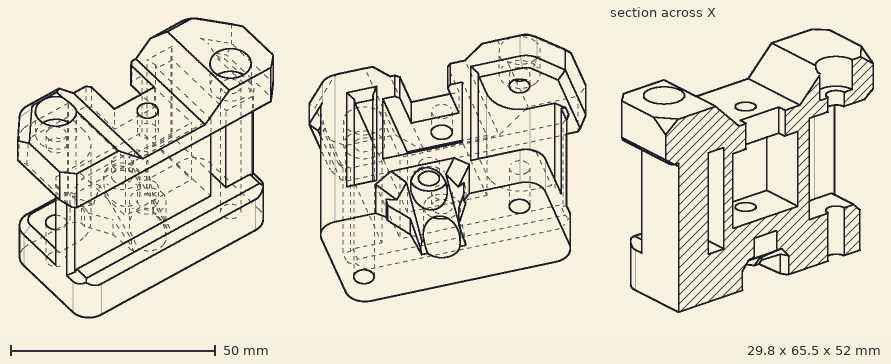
import cadquery as cq
import math

height = 52.0
base_depth = 29.75
base_half_width = 28.6
column_depth = 23.8
flange_depth = 28.0
flange_half_width = 32.75
corner_radius = 5.0

bay_floor = 13.0
bay_ceiling = 40.1
bay_chamfer = 2.1
side_chamfer = 1.45
end_chamfer_depth = 1.2

column_top = bay_ceiling + bay_chamfer

flange_flat_x = 8.05
corner_to_end_x = flange_flat_x - corner_radius
corner_to_end_y = flange_half_width - (base_half_width - corner_radius)
slant_angle = math.atan2(corner_to_end_y, corner_to_end_x) - math.asin(
    corner_radius / math.hypot(corner_to_end_x, corner_to_end_y)
)
flange_foot_y = flange_half_width - flange_flat_x * math.tan(slant_angle)
flange_rear_chamfer = 3.0
flange_top_chamfer = 3.0
saddle_floor = 44.6
saddle_half_width = 9.55
corbel_size = 0.85

roller_x = 8.05
roller_y = -21.0
roller_bay_radius = 8.45
slot_near_y = 14.4
slot_far_y = 19.1

axis_y = 1.25
window_half_width = 10.15
window_floor = 17.6
window_top = 37.6
window_depth = 20.0
gap_half_width = 6.1
gap_depth = 10.35
gap_chamfer = 1.0

axis_hole_diameter = 5.1
axis_hole_xs = (5.25, 15.7)
axis_counterbore_diameter = 9.0
post_hole_diameter = 5.0
post_counterbore_diameter = 10.0
post_counterbore_depth = 8.0
post_holes = ((roller_x, roller_y), (20.9, 22.7))

recess_height = 12.9
recess_length = 17.5
recess_end_top_x = 15.7
recess_slope = 0.65
roof_half_width = 5.05
side_drop = 5.7
recess_half_width = 9.95
recess_straight = 3.35
waist_x = 9.8
waist_half_width = 6.15
end_half_width = 5.65
mouth_half_width = 12.0
mouth_side_height = 9.6
mouth_roof_half_width = 8.05
mouth_depth = 6.55


def make_base():
    """Rounded foot; its top bevel follows the front corners but is mitred at the rear ones."""
    block = cq.Workplane("XY").box(
        base_depth, 2 * base_half_width, bay_floor, centered=(False, True, False)
    )
    rounded = block.edges("|Z").fillet(corner_radius)
    bevelled = block.edges("|Z and <X").fillet(corner_radius).faces(">Z").edges().chamfer(bay_chamfer)
    return bevelled.intersect(rounded)


def make_column():
    """Upright web, pierced by the roller bay at one end and the slot at the other."""
    column = cq.Workplane("XY").box(
        column_depth, 2 * base_half_width, column_top, centered=(False, True, False)
    )
    column = column.edges("|Z and <X").fillet(corner_radius)
    column = column.edges("|Z and >X").chamfer(side_chamfer)

    inner_y = roller_y + roller_bay_radius
    inner_x = roller_x + roller_bay_radius
    lip_y = end_chamfer_depth - base_half_width
    diagonal = roller_bay_radius * math.sqrt(0.5)
    roller_bay = (
        cq.Workplane("XY")
        .moveTo(0, inner_y + side_chamfer)
        .lineTo(side_chamfer, inner_y)
        .lineTo(roller_x, inner_y)
        .threePointArc((roller_x + diagonal, roller_y + diagonal), (inner_x, roller_y))
        .lineTo(inner_x, lip_y)
        .lineTo(inner_x + side_chamfer, -base_half_width)
        .lineTo(0, -base_half_width)
        .close()
        .extrude(height)
    )
    slot = (
        cq.Workplane("XY")
        .polyline([
            (0, slot_near_y - side_chamfer),
            (side_chamfer, slot_near_y),
            (column_depth, slot_near_y),
            (column_depth, slot_far_y),
            (side_chamfer, slot_far_y),
            (0, slot_far_y + side_chamfer),
        ])
        .close()
        .extrude(height)
    )
    return column.cut(roller_bay).cut(slot)


def make_flange():
    """Top flange: bevelled plan outline crossed with the saddle-shaped end profile."""
    rear_y = flange_half_width - flange_rear_chamfer
    rear_x = flange_depth - flange_rear_chamfer
    half_outline = [
        (0, flange_foot_y),
        (flange_flat_x, flange_half_width),
        (rear_x, flange_half_width),
        (flange_depth, rear_y),
    ]
    outline = half_outline + [(x, -y) for x, y in reversed(half_outline)]
    plan = (
        cq.Workplane("XY", origin=(0, 0, bay_ceiling))
        .polyline(outline)
        .close()
        .extrude(height - bay_ceiling)
        .edges("|Z and <X")
        .fillet(corner_radius)
    )
    front_zone = cq.selectors.BoxSelector(
        (-corner_radius, -flange_half_width, 0),
        (flange_flat_x, flange_half_width, 2 * height),
    )
    plan = plan.faces(">Z").edges(front_zone).chamfer(flange_top_chamfer)
    plan = plan.faces("<Z").edges(front_zone).chamfer(bay_chamfer)

    saddle_top_half_width = saddle_half_width + height - saddle_floor
    half_profile = [
        (flange_half_width - bay_chamfer, bay_ceiling),
        (flange_half_width, bay_ceiling + bay_chamfer),
        (flange_half_width, height),
        (saddle_top_half_width, height),
        (saddle_half_width, saddle_floor),
    ]
    profile = half_profile + [(-y, z) for y, z in reversed(half_profile)]
    saddle = cq.Workplane("YZ").polyline(profile).close().extrude(flange_depth)
    return plan.intersect(saddle)


def make_corbel(start_x, side):
    """Bevelled strip joining an end wall to the flange; side is -1 or 1."""
    length = column_depth - side_chamfer - start_x
    rise = 3 * corbel_size
    plane = cq.Plane(
        origin=(start_x + length / 2, side * base_half_width, bay_ceiling - corbel_size + rise / 2),
        xDir=(1, 0, 0),
        normal=(0, side, 0),
    )
    return cq.Workplane(plane).rect(length, rise).extrude(corbel_size, taper=45)


def make_window():
    """Square pocket in the front face, with a narrower gap open to the saddle."""
    window = cq.Workplane("XY", origin=(0, axis_y, window_floor)).box(
        window_depth, 2 * window_half_width, window_top - window_floor, centered=(False, True, False)
    )
    half_gap = [
        (0, gap_half_width + gap_chamfer),
        (gap_chamfer, gap_half_width),
        (gap_depth, gap_half_width),
    ]
    gap = (
        cq.Workplane("XY", origin=(0, axis_y, window_floor))
        .polyline(half_gap + [(x, -y) for x, y in reversed(half_gap)])
        .close()
        .extrude(height)
    )
    return window.union(gap)


def tapered_prism(half_section, length, narrowing):
    """Symmetric section swept along X, falling with the recess roof and narrowing evenly."""
    drop = recess_slope * length

    def section_at(shift_y, shift_z):
        half = [(y - shift_y, z - shift_z) for y, z in half_section]
        half.append((half[-1][0], -height))
        return half + [(-y, z) for y, z in reversed(half)]

    return (
        cq.Workplane("YZ", origin=(0, axis_y, 0))
        .polyline(section_at(0, 0))
        .close()
        .workplane(offset=length)
        .polyline(section_at(narrowing, drop))
        .close()
        .loft(ruled=True)
    )


def make_recess():
    """Sloped recess under the axis: a flared mouth leading into a narrowing chamber."""
    mouth = tapered_prism(
        [(mouth_roof_half_width, recess_height), (mouth_half_width, mouth_side_height)],
        mouth_depth,
        mouth_depth,
    )
    roofed = tapered_prism(
        [(roof_half_width, recess_height), (recess_half_width, recess_height - side_drop)],
        recess_length,
        0,
    )
    half_plan = [
        (0, recess_half_width),
        (recess_straight, recess_half_width),
        (waist_x, waist_half_width),
        (recess_length, end_half_width),
    ]
    plan = (
        cq.Workplane("XY", origin=(0, axis_y, 0))
        .polyline(half_plan + [(x, -y) for x, y in reversed(half_plan)])
        .close()
        .extrude(height)
    )
    side_profile = (
        cq.Workplane("XZ", origin=(0, base_half_width, 0))
        .polyline([
            (0, 0),
            (recess_length, 0),
            (recess_end_top_x, recess_height - recess_slope * recess_end_top_x),
            (recess_end_top_x, height),
            (0, height),
        ])
        .close()
        .extrude(2 * base_half_width)
    )
    return mouth.union(roofed.intersect(plan).intersect(side_profile))


def cylinder(x, y, diameter, bottom, top):
    return cq.Workplane("XY", origin=(x, y, bottom)).circle(diameter / 2).extrude(top - bottom)


result = make_base().union(make_column()).union(make_flange())
result = result.union(make_corbel(roller_x + roller_bay_radius + side_chamfer, -1))
result = result.union(make_corbel(flange_flat_x, 1))
result = result.cut(make_window()).cut(make_recess())

for hole_x in axis_hole_xs:
    result = result.cut(cylinder(hole_x, axis_y, axis_hole_diameter, 0, height))
    result = result.cut(cylinder(hole_x, axis_y, axis_counterbore_diameter, 0, recess_height))

for hole_x, hole_y in post_holes:
    result = result.cut(cylinder(hole_x, hole_y, post_hole_diameter, 0, height))
    counterbore_floor = height - post_counterbore_depth
    result = result.cut(cylinder(hole_x, hole_y, post_counterbore_diameter, counterbore_floor, height))